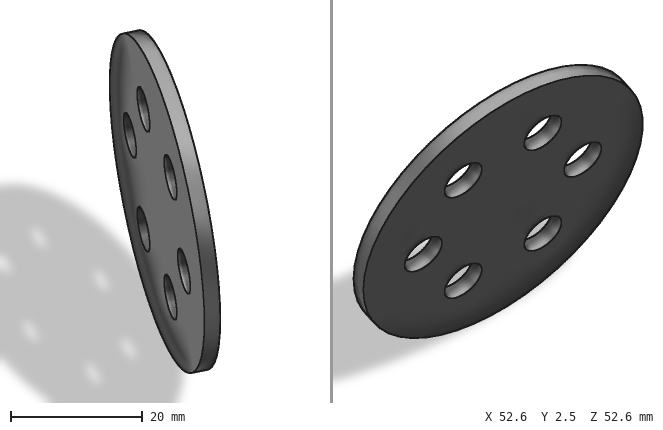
import cadquery as cq

disc_diameter = 52.6
disc_thickness = 2.5
hole_diameter = 7.0
hole_circle_diameter = 30.0
hole_count = 6

disc = cq.Workplane("XZ").circle(disc_diameter / 2).extrude(disc_thickness)

holes = (
    cq.Workplane("XZ")
    .polarArray(hole_circle_diameter / 2, 0, 360, hole_count)
    .circle(hole_diameter / 2)
    .extrude(disc_thickness)
)

result = disc.cut(holes)